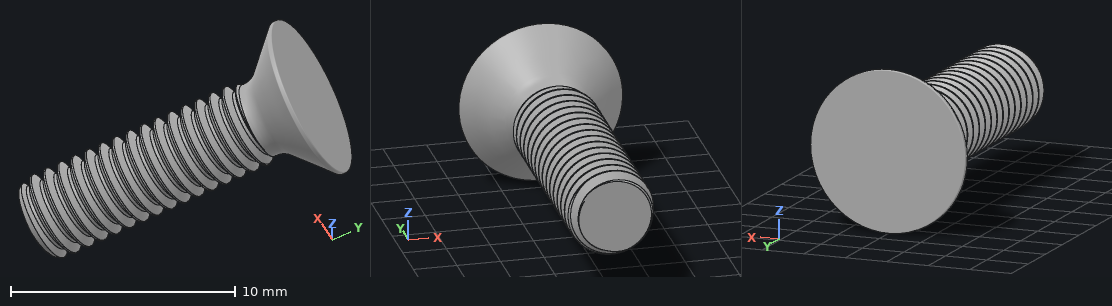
import cadquery as cq
import math

length = 14.0
head_radius = 3.75
rim_height = 0.21
rim_round = 0.05
cone_angle = math.radians(45)
neck_radius = 1.76
neck_fillet = 1.02
neck_end = 2.75

pitch = 0.7
major_radius = 2.0
crest_flat = pitch / 8
flank_angle = math.radians(30)
minor_radius = 1.61
first_crest = 2.73
root_overlap = 0.05

taper_angle = math.radians(30)
tip_radius = 1.72
envelope_margin = 0.01


def revolve_about_axis(profile):
    """Close a (radius, Y) outline and turn it around the Y axis."""
    return profile.close().revolve(360, (0, 0, 0), (0, 1, 0))


def make_head():
    """Rounded rim, 45 degree cone and concave fillet that runs tangent into the neck."""
    fillet_center_radius = neck_radius + neck_fillet
    cone_end_radius = fillet_center_radius - neck_fillet * math.cos(cone_angle)
    cone_end = rim_height + (head_radius - cone_end_radius) / math.tan(cone_angle)
    fillet_end = cone_end + neck_fillet * math.sin(cone_angle)
    half_angle = cone_angle / 2
    fillet_middle = (
        fillet_center_radius - neck_fillet * math.cos(half_angle),
        -fillet_end + neck_fillet * math.sin(half_angle),
    )
    profile = (
        cq.Workplane("XY")
        .lineTo(head_radius, 0)
        .lineTo(head_radius, -rim_height)
        .lineTo(cone_end_radius, -cone_end)
        .threePointArc(fillet_middle, (neck_radius, -fillet_end))
        .lineTo(neck_radius, -neck_end)
        .lineTo(0, -neck_end)
    )
    head = revolve_about_axis(profile)
    rim_edges = head.edges(cq.selectors.RadiusNthSelector(-1))
    return rim_edges.fillet(rim_round)


def make_core():
    """Plain cylinder at the root of the thread."""
    core_length = length - neck_end
    return cq.Workplane("XZ", origin=(0, -neck_end, 0)).circle(minor_radius).extrude(core_length)


def make_thread_ridge():
    """Helical ridge, one turn too long at each end."""
    ridge_start = first_crest - pitch
    ridge_length = length + pitch - ridge_start
    inner_radius = minor_radius - root_overlap
    half_crest = crest_flat / 2
    half_base = half_crest + (major_radius - inner_radius) * math.tan(flank_angle)
    helix = cq.Wire.makeHelix(pitch, ridge_length, minor_radius)
    ridge = (
        cq.Workplane("XZ")
        .moveTo(inner_radius, -half_base)
        .lineTo(major_radius, -half_crest)
        .lineTo(major_radius, half_crest)
        .lineTo(inner_radius, half_base)
        .close()
        .sweep(cq.Workplane(obj=helix), isFrenet=True)
    )
    return ridge.rotate((0, 0, 0), (1, 0, 0), 90).translate((0, -ridge_start, 0))


def make_thread_envelope():
    """Solid that trims the thread to length and tapers both of its ends."""
    envelope_radius = major_radius + envelope_margin
    neck_taper = (envelope_radius - neck_radius) / math.tan(taper_angle)
    tip_taper = (envelope_radius - tip_radius) / math.tan(taper_angle)
    profile = (
        cq.Workplane("XY")
        .moveTo(0, -neck_end)
        .lineTo(neck_radius, -neck_end)
        .lineTo(envelope_radius, -neck_end - neck_taper)
        .lineTo(envelope_radius, -length + tip_taper)
        .lineTo(tip_radius, -length)
        .lineTo(0, -length)
    )
    return revolve_about_axis(profile)


thread = make_thread_ridge().intersect(make_thread_envelope())
result = make_head().union(make_core()).union(thread)